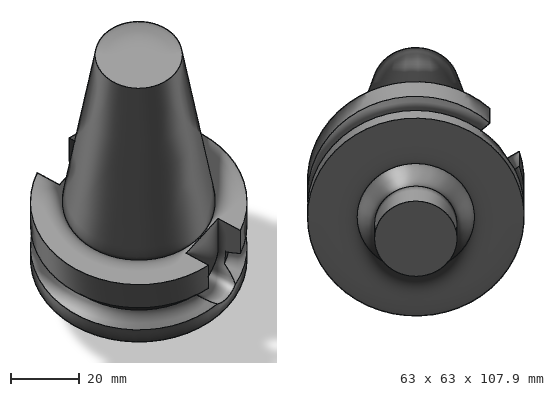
import cadquery as cq

total_length = 107.9

nose_radius = 24.0 / 2
collar_radius = 17.0
flange_radius = 63.0 / 2
groove_radius = 26.4
gauge_radius = 44.5 / 2

nose_top = 10.7
flange_bottom = 15.4
lower_rim_top = 20.9
groove_bottom = 23.8
groove_top = 28.1
upper_rim_bottom = 31.0
flange_top = 41.4
taper_start = 42.4

taper_ratio = 7 / 24
taper_length = total_length - taper_start
taper_end_radius = gauge_radius - taper_length * taper_ratio / 2

slot_width = 16.1
slot_floor_distance = 22.5
slot_lowest_point = 19.5
slot_radius = slot_width / 2
slot_arc_center = slot_lowest_point + slot_radius


def turned_body():
    """Nose, collar, V-grooved flange and taper revolved about Z."""
    profile = [
        (0, 0),
        (nose_radius, 0),
        (nose_radius, nose_top),
        (collar_radius, flange_bottom),
        (flange_radius, flange_bottom),
        (flange_radius, lower_rim_top),
        (groove_radius, groove_bottom),
        (groove_radius, groove_top),
        (flange_radius, upper_rim_bottom),
        (flange_radius, flange_top),
        (gauge_radius, flange_top),
        (gauge_radius, taper_start),
        (taper_end_radius, total_length),
        (0, total_length),
    ]
    return cq.Workplane("XZ").polyline(profile).close().revolve(360, (0, 0), (0, 1))


def drive_slot(side):
    """Round-bottomed slot cutter outside the slot floor; side is -1 or +1."""
    return (
        cq.Workplane("YZ", origin=(side * slot_floor_distance, 0, 0))
        .moveTo(-slot_radius, flange_top)
        .lineTo(-slot_radius, slot_arc_center)
        .threePointArc((0, slot_lowest_point), (slot_radius, slot_arc_center))
        .lineTo(slot_radius, flange_top)
        .close()
        .extrude(side * flange_radius)
    )


result = turned_body()
for side in (-1, 1):
    result = result.cut(drive_slot(side))